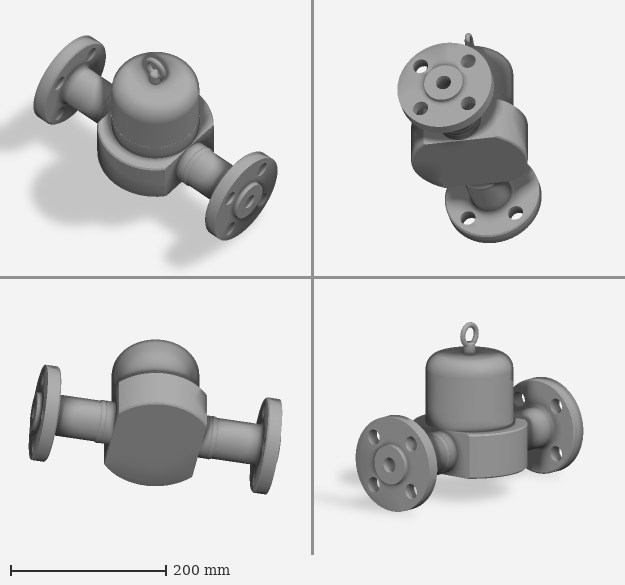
import cadquery as cq
import math

total_length = 320.0

base_diameter = 150.0
base_width = 115.2
base_height = 58.2
base_chamfer = 2.0
stub_diameter = 55.5
stub_end = 69.5
stub_edge = 0.5

dome_diameter = 113.0
dome_top = 120.5
dome_round = 20.0
seam_diameter = 113.3
seam_width = 1.0
seam_height = 51.0

eye_diameter = 33.3
eye_hole_diameter = 20.0
eye_top = 161.0
stem_base_diameter = 16.5
stem_top_diameter = 14.0
stem_top = 135.0
stem_chamfer = 1.5

pipe_diameter = 53.0
bead_start = stub_end
bead_end = 76.8
bead_diameter = 56.0
bead_root_diameter = stub_diameter - 2 * stub_edge
flange_diameter = 124.0
flange_back = 136.0
flange_front = 154.0
flange_chamfer = 2.0
hub_fillet = 4.5
raised_face_diameter = 51.0
raised_face_fillet = 2.0
bore_diameter = 20.0
bolt_hole_diameter = 20.0
bolt_hole_spacing = 62.7
bolt_hole_count = 4


def make_base():
    """Round chamfered block, cut flat on the two pipe sides."""
    block = (
        cq.Workplane("XY", origin=(0, 0, -base_height / 2))
        .circle(base_diameter / 2)
        .extrude(base_height)
        .edges()
        .chamfer(base_chamfer)
    )
    return block.intersect(cq.Workplane("XY").box(base_width, base_diameter, base_height))


def make_stubs():
    """Short solid pipe stubs on both sides of the base."""
    return (
        cq.Workplane("YZ", origin=(-stub_end, 0, 0))
        .circle(stub_diameter / 2)
        .extrude(2 * stub_end)
        .edges()
        .chamfer(stub_edge)
    )


def make_dome():
    """Solid dome with a rounded top edge and a thin seam."""
    dome = (
        cq.Workplane("XY")
        .circle(dome_diameter / 2)
        .extrude(dome_top)
        .faces(">Z")
        .edges()
        .fillet(dome_round)
    )
    seam = (
        cq.Workplane("XY", origin=(0, 0, seam_height - seam_width / 2))
        .circle(seam_diameter / 2)
        .extrude(seam_width)
    )
    return dome.union(seam)


def make_lifting_eye():
    """Tapered stem carrying an upright ring whose axis is Y."""
    stem = (
        cq.Workplane("XY", origin=(0, 0, dome_top))
        .circle(stem_base_diameter / 2)
        .workplane(offset=stem_top - dome_top)
        .circle(stem_top_diameter / 2)
        .loft()
        .faces(">Z")
        .edges()
        .chamfer(stem_chamfer)
    )
    wire_radius = (eye_diameter - eye_hole_diameter) / 4
    ring_radius = eye_diameter / 2 - wire_radius
    ring_center = cq.Vector(0, 0, eye_top - eye_diameter / 2)
    ring = cq.Solid.makeTorus(ring_radius, wire_radius, ring_center, cq.Vector(0, 1, 0))
    return stem.union(cq.Workplane(ring))


def make_housing():
    return make_base().union(make_stubs()).union(make_dome()).union(make_lifting_eye())


def make_flanged_pipe():
    """Pipe end on the +X side: weld bead, pipe, flange and raised face."""
    pipe_radius = pipe_diameter / 2
    flange_radius = flange_diameter / 2
    face_radius = raised_face_diameter / 2
    face_fillet_start = flange_front + raised_face_fillet
    corner = math.sqrt(0.5)
    pipe = (
        cq.Workplane("XY")
        .moveTo(bead_start, 0)
        .lineTo(bead_start, bead_root_diameter / 2)
        .threePointArc(((bead_start + bead_end) / 2, bead_diameter / 2), (bead_end, pipe_radius))
        .lineTo(flange_back - hub_fillet, pipe_radius)
        .threePointArc(
            (
                flange_back - hub_fillet * (1 - corner),
                pipe_radius + hub_fillet * (1 - corner),
            ),
            (flange_back, pipe_radius + hub_fillet),
        )
        .lineTo(flange_back, flange_radius - flange_chamfer)
        .lineTo(flange_back + flange_chamfer, flange_radius)
        .lineTo(flange_front, flange_radius)
        .lineTo(flange_front, face_radius + raised_face_fillet)
        .threePointArc(
            (
                flange_front + raised_face_fillet * (1 - corner),
                face_radius + raised_face_fillet * (1 - corner),
            ),
            (face_fillet_start, face_radius),
        )
        .lineTo(total_length / 2, face_radius)
        .lineTo(total_length / 2, 0)
        .close()
        .revolve(360, (0, 0, 0), (1, 0, 0))
    )
    bore = (
        cq.Workplane("YZ", origin=(bead_start, 0, 0))
        .circle(bore_diameter / 2)
        .extrude(total_length / 2 - bead_start)
    )
    bolt_holes = (
        cq.Workplane("YZ", origin=(flange_back, 0, 0))
        .polarArray(bolt_hole_spacing * corner, 45, 360, bolt_hole_count)
        .circle(bolt_hole_diameter / 2)
        .extrude(flange_front - flange_back)
    )
    return pipe.cut(bore).cut(bolt_holes)


housing = make_housing()

flanged_pipes = []
for turn in (0, 180):
    flanged_pipes.append(make_flanged_pipe().rotate((0, 0, 0), (0, 0, 1), turn).val())

result = cq.Compound.makeCompound([housing.val(), *flanged_pipes])